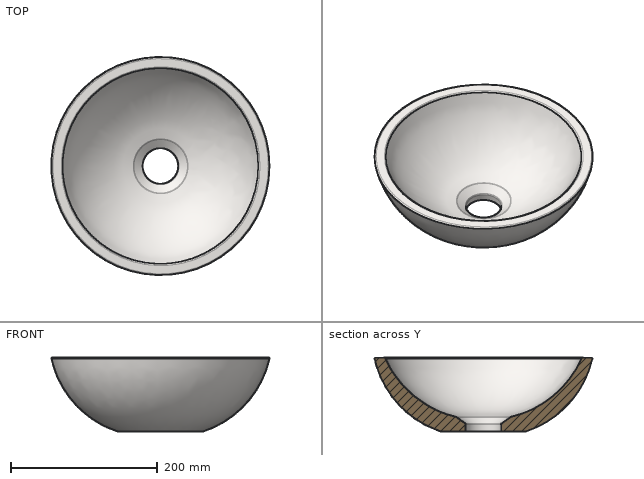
import cadquery as cq

height = 102.0
rim_radius = 149.5
base_radius = 58.0

outer_mid_radius = 127.5
outer_mid_height = 50.8

rim_width = 15.5
rim_rounding = 2.0
inner_rim_radius = rim_radius - rim_width

inner_mid_radius = 106.2
inner_mid_height = 59.2

seat_radius = 37.0
seat_height = 20.3
hole_radius = 24.2
hole_height = 11.0
seat_rounding = 2.0
hole_rounding = 2.0


def bowl_section():
    """Half section of the bowl, with radius along X and height along Y."""
    return (
        cq.Workplane("XZ")
        .moveTo(hole_radius, 0)
        .lineTo(base_radius, 0)
        .threePointArc((outer_mid_radius, outer_mid_height), (rim_radius, height - rim_rounding))
        .radiusArc((rim_radius - rim_rounding, height), -rim_rounding)
        .lineTo(inner_rim_radius + rim_rounding, height)
        .radiusArc((inner_rim_radius, height - rim_rounding), -rim_rounding)
        .threePointArc((inner_mid_radius, inner_mid_height), (seat_radius, seat_height))
        .lineTo(hole_radius, hole_height)
        .close()
    )


def round_circle(body, radius, level, rounding):
    """Round the circular edge of the given radius and height."""
    reach = 0.03
    corner = radius + reach
    edge = cq.selectors.BoxSelector(
        (-corner, -corner, level - reach), (corner, corner, level + reach), boundingbox=True
    )
    return body.edges(edge).fillet(rounding)


result = bowl_section().revolve(360, (0, 0, 0), (0, 1, 0))
result = round_circle(result, seat_radius, seat_height, seat_rounding)
result = round_circle(result, hole_radius, hole_height, hole_rounding)